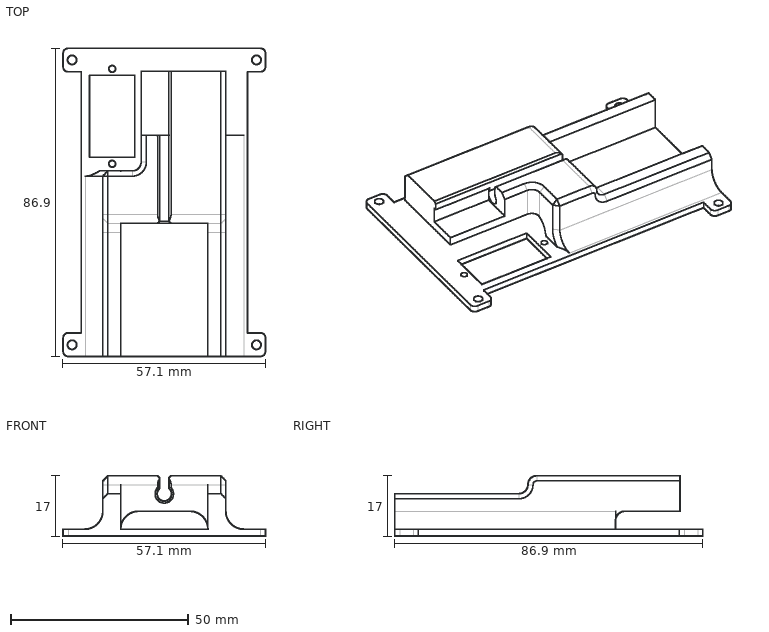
import cadquery as cq

LENGTH = 86.9
PLATE_WIDTH = 46.9
PLATE_THICK = 2.0
TAB_SPAN = 57.1
TAB_LENGTH = 6.7
TAB_RADIUS = 1.5
SCREW_DIAMETER = 2.5
SCREW_SPACING_X = 52.0
SCREW_EDGE_Y = 3.3

WINDOW_WIDTH = 12.7
WINDOW_LENGTH = 23.0
WINDOW_X = -14.7
WINDOW_Y = 67.7
PILOT_DIAMETER = 1.8
PILOT_SPACING = 26.8

HEIGHT = 17.0
HALF_WIDTH = 17.4
WALL_TOP = 12.0
INNER_HALF_WIDTH = 12.25
FOOT_RADIUS = 4.95
ROOF_Z = PLATE_THICK + FOOT_RADIUS
STEP_RADIUS = (HEIGHT - WALL_TOP) / 2
FRONT_Y = 37.5
SHOULDER_Y = 52.3
ARM_LEFT_X = -6.5
WALL_END_Y = 62.3
HOUSING_END_Y = 80.5
EDGE_CHAMFER = 1.5
CORNER_RADIUS = 2.5

CHANNEL_Z = 11.9
CHANNEL_RADIUS = 2.0
NECK_HALF_WIDTH = 1.3
MOUTH_CHAMFER = 0.6
LEDGE_Z = 9.6
LIP_BOTTOM_Z = 14.3


def box(x0, x1, y0, y1, z0, z1):
    """Box between two opposite corners."""
    return cq.Workplane("XY").box(x1 - x0, y1 - y0, z1 - z0, centered=False).translate((x0, y0, z0))


def extrude_along_y(profile, y0, y1):
    """Extrude an XZ profile, drawn on the plane y = 0, from y0 to y1."""
    return profile.extrude(-(y1 - y0)).translate((0, y0, 0))


def make_plate():
    plate = box(-PLATE_WIDTH / 2, PLATE_WIDTH / 2, 0, LENGTH, 0, PLATE_THICK)
    for y0 in (0, LENGTH - TAB_LENGTH):
        tabs = box(-TAB_SPAN / 2, TAB_SPAN / 2, y0, y0 + TAB_LENGTH, 0, PLATE_THICK)
        plate = plate.union(tabs.edges("|Z").fillet(TAB_RADIUS))
    return plate


def make_housing():
    """L-shaped block stepping down to the walls through an S-curve, with chamfered edges."""
    side = (
        cq.Workplane("YZ")
        .lineTo(HOUSING_END_Y, 0)
        .lineTo(HOUSING_END_Y, HEIGHT)
        .lineTo(FRONT_Y + STEP_RADIUS, HEIGHT)
        .radiusArc((FRONT_Y, HEIGHT - STEP_RADIUS), -STEP_RADIUS)
        .radiusArc((FRONT_Y - STEP_RADIUS, WALL_TOP), STEP_RADIUS)
        .lineTo(0, WALL_TOP)
        .close()
        .extrude(HALF_WIDTH, both=True)
    )
    corner = box(-HALF_WIDTH, ARM_LEFT_X, SHOULDER_Y, HOUSING_END_Y, 0, HEIGHT)
    corner = corner.edges("|Z and >X and <Y").fillet(CORNER_RADIUS)
    block = side.cut(corner)
    margin = 0.1
    back_left_edges = cq.selectors.BoxSelector(
        (-HALF_WIDTH - margin, SHOULDER_Y - margin, HEIGHT - margin),
        (ARM_LEFT_X + margin, HOUSING_END_Y - margin, HEIGHT + margin),
    )
    left_edges = block.faces("<X").edges("not(<Z or <Y)")
    right_edges = block.faces(">X").edges("not(<Z or <Y or >Y)")
    rim = left_edges.add(right_edges).add(block.edges(back_left_edges))
    return rim.chamfer(EDGE_CHAMFER)


def make_foot(direction, end_y):
    """Concave fillet strip between plate and wall; direction is +1 or -1 along X."""
    wall_x = direction * HALF_WIDTH
    inside_x = wall_x - direction * EDGE_CHAMFER
    profile = (
        cq.Workplane("XZ")
        .moveTo(inside_x, PLATE_THICK)
        .lineTo(wall_x + direction * FOOT_RADIUS, PLATE_THICK)
        .radiusArc((wall_x, ROOF_Z), direction * FOOT_RADIUS)
        .lineTo(inside_x, ROOF_Z)
        .close()
    )
    return extrude_along_y(profile, 0, end_y)


def make_left_foot():
    """Left foot with its rear end chamfered along the concave arc by a widening cone."""
    chamfer_cone = cq.Workplane(
        cq.Solid.makeCone(
            FOOT_RADIUS, FOOT_RADIUS + EDGE_CHAMFER, EDGE_CHAMFER,
            pnt=cq.Vector(-HALF_WIDTH - FOOT_RADIUS, SHOULDER_Y - EDGE_CHAMFER, ROOF_Z),
            dir=cq.Vector(0, 1, 0),
        )
    )
    return make_foot(-1, SHOULDER_Y).cut(chamfer_cone)


def make_tunnel():
    """Passage under the roof with rounded upper corners, open to the sky in front."""
    tunnel = box(-INNER_HALF_WIDTH, INNER_HALF_WIDTH, 0, HOUSING_END_Y, PLATE_THICK, ROOF_Z)
    round_limit = 0.01
    tunnel = tunnel.edges("|Y and >Z").fillet(FOOT_RADIUS - round_limit)
    return tunnel.union(box(-INNER_HALF_WIDTH, INNER_HALF_WIDTH, 0, FRONT_Y, PLATE_THICK, HEIGHT))


def make_rear_gap():
    """Open space under the overhanging rear, rounded where the right wall meets it."""
    gap = box(-HALF_WIDTH, HALF_WIDTH, WALL_END_Y, HOUSING_END_Y, PLATE_THICK, ROOF_Z)
    return gap.edges("|X and >Z and <Y").fillet(CORNER_RADIUS)


def make_keyhole():
    """Round channel with an open neck above it, running to the rear end."""
    profile = cq.Workplane("XZ").center(0, CHANNEL_Z).circle(CHANNEL_RADIUS)
    bore = extrude_along_y(profile, FRONT_Y, HOUSING_END_Y)
    neck = box(-NECK_HALF_WIDTH, NECK_HALF_WIDTH, FRONT_Y, HOUSING_END_Y, CHANNEL_Z, HEIGHT)
    return bore.union(neck)


def make_mouth():
    """Chamfer around the keyhole where it opens in the front face."""
    cone = cq.Workplane(
        cq.Solid.makeCone(
            CHANNEL_RADIUS + MOUTH_CHAMFER, CHANNEL_RADIUS, MOUTH_CHAMFER,
            pnt=cq.Vector(0, FRONT_Y, CHANNEL_Z), dir=cq.Vector(0, 1, 0),
        )
    )
    wide = NECK_HALF_WIDTH + MOUTH_CHAMFER
    neck = (
        cq.Workplane("XY")
        .polyline([
            (-wide, FRONT_Y),
            (wide, FRONT_Y),
            (NECK_HALF_WIDTH, FRONT_Y + MOUTH_CHAMFER),
            (-NECK_HALF_WIDTH, FRONT_Y + MOUTH_CHAMFER),
        ])
        .close()
        .extrude(HEIGHT - CHANNEL_Z)
        .translate((0, 0, CHANNEL_Z))
    )
    return cone.union(neck)


def make_neck_chamfer():
    """Chamfer along both upper edges of the neck."""
    wide = NECK_HALF_WIDTH + MOUTH_CHAMFER
    profile = cq.Workplane("XZ").polyline([
        (-wide, HEIGHT),
        (wide, HEIGHT),
        (NECK_HALF_WIDTH, HEIGHT - MOUTH_CHAMFER),
        (-NECK_HALF_WIDTH, HEIGHT - MOUTH_CHAMFER),
    ]).close()
    return extrude_along_y(profile, FRONT_Y, HOUSING_END_Y)


def make_ledge_cut():
    """Clears the left half of the rear down to the ledge and undercuts the lip."""
    above = box(ARM_LEFT_X, NECK_HALF_WIDTH, WALL_END_Y, HOUSING_END_Y, LEDGE_Z, HEIGHT)
    undercut = box(0, CHANNEL_RADIUS, WALL_END_Y, HOUSING_END_Y, LEDGE_Z, LIP_BOTTOM_Z)
    return above.union(undercut)


def make_holes():
    screw_points = [
        (x, y)
        for x in (-SCREW_SPACING_X / 2, SCREW_SPACING_X / 2)
        for y in (SCREW_EDGE_Y, LENGTH - SCREW_EDGE_Y)
    ]
    pilot_points = [(WINDOW_X, WINDOW_Y + side * PILOT_SPACING / 2) for side in (-1, 1)]
    plane = cq.Workplane("XY")
    screws = plane.pushPoints(screw_points).circle(SCREW_DIAMETER / 2).extrude(PLATE_THICK)
    pilots = plane.pushPoints(pilot_points).circle(PILOT_DIAMETER / 2).extrude(PLATE_THICK)
    window = plane.center(WINDOW_X, WINDOW_Y).rect(WINDOW_WIDTH, WINDOW_LENGTH).extrude(PLATE_THICK)
    return screws.union(pilots).union(window)


housing = make_housing().cut(make_tunnel()).cut(make_rear_gap())
housing = housing.cut(make_keyhole())
housing = housing.cut(make_mouth()).cut(make_neck_chamfer()).cut(make_ledge_cut())

result = (
    make_plate()
    .union(housing)
    .union(make_left_foot())
    .union(make_foot(1, WALL_END_Y))
    .cut(make_holes())
)